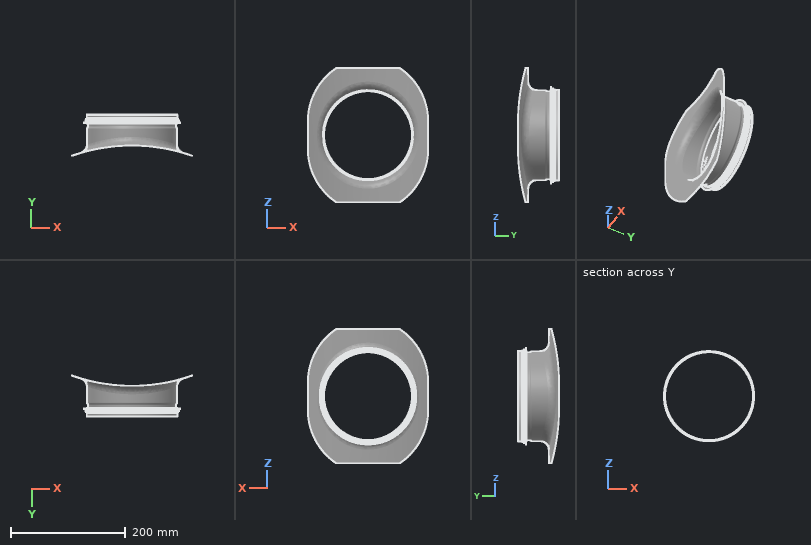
import cadquery as cq
import math

WIDTH = 210.0
HEIGHT = 235.0
DEPTH = 72.5
SHEET = 0.5

SADDLE_INNER_RADIUS = 315.0
TOP_FLAT_HALF = 55.5
SIDE_FLAT_HALF = 33.4
CORNER_RADIUS = 113.3
BEVEL_WIDTH = 1.2
BEVEL_DEPTH = 0.35
BEVEL_SAMPLES = 12
FLARE_RADIUS = 14.5

COLLAR_RADIUS = 158.0 / 2
NECK_RADIUS = 154.2 / 2
RIM_RADIUS = 159.0 / 2
NECK_START = 21.2
SHOULDER_END = 24.5
BEND_RADIUS = 2.4
RIM_LENGTH = 6.0
RIM_ROUND = 1.5

SEAL_RADIUS = 158.0 / 2
SEAL_BORE_RADIUS = 155.3 / 2
SEAL_END = 16.0
SEAL_FINS = [
    (161.2 / 2, 8.0, 1.0),
    (164.5 / 2, 10.3, 1.0),
    (169.5 / 2, 13.6, 1.6),
]

half_width = WIDTH / 2
half_height = HEIGHT / 2
saddle_axis_y = -math.sqrt(SADDLE_INNER_RADIUS**2 - half_width**2)
shoulder_rear = DEPTH - NECK_START
shoulder_front = DEPTH - SHOULDER_END
shoulder_angle = math.atan2(COLLAR_RADIUS - NECK_RADIUS, SHOULDER_END - NECK_START)
bend_length = BEND_RADIUS * math.tan(shoulder_angle / 2)
collar_front = shoulder_front - bend_length - SHEET


def ring(outer_radius, inner_radius, rear_distance, length):
    """Ring round the Y axis, running forward from a distance behind the rear face."""
    return (
        cq.Workplane("XZ", origin=(0, DEPTH - rear_distance, 0))
        .circle(outer_radius)
        .circle(inner_radius)
        .extrude(length)
    )


def flared_form(saddle_radius, tube_radius, flare_radius):
    """Solid saddle cylinder with a round stub, blended together by the flare."""
    saddle = (
        cq.Workplane("XY", origin=(0, saddle_axis_y, -HEIGHT))
        .circle(saddle_radius)
        .extrude(2 * HEIGHT)
    )
    stub = (
        cq.Workplane("XZ", origin=(0, collar_front, 0))
        .circle(tube_radius)
        .extrude(collar_front - saddle_axis_y)
    )
    seam_box = cq.selectors.BoxSelector(
        (-half_width, -half_width, -half_height), (half_width, collar_front - SHEET, half_height)
    )
    return saddle.union(stub).edges(seam_box).fillet(flare_radius)


def saddle_outline():
    """Prism with straight sides and rounded corners that trims the saddle plate."""
    return (
        cq.Workplane("XZ", origin=(0, DEPTH, 0))
        .moveTo(-TOP_FLAT_HALF, half_height)
        .lineTo(TOP_FLAT_HALF, half_height)
        .radiusArc((half_width, SIDE_FLAT_HALF), CORNER_RADIUS)
        .lineTo(half_width, -SIDE_FLAT_HALF)
        .radiusArc((TOP_FLAT_HALF, -half_height), CORNER_RADIUS)
        .lineTo(-TOP_FLAT_HALF, -half_height)
        .radiusArc((-half_width, -SIDE_FLAT_HALF), CORNER_RADIUS)
        .lineTo(-half_width, SIDE_FLAT_HALF)
        .radiusArc((-TOP_FLAT_HALF, half_height), CORNER_RADIUS)
        .close()
        .extrude(2 * DEPTH)
    )


def make_bevel_cutter():
    """Cutter below a sloped strip that follows the hollow face along the +X, +Z corner."""
    run_x = half_width - TOP_FLAT_HALF
    run_z = half_height - SIDE_FLAT_HALF
    chord = math.hypot(run_x, run_z)
    centre_offset = math.sqrt(CORNER_RADIUS**2 - (chord / 2) ** 2)
    centre_x = (TOP_FLAT_HALF + half_width) / 2 - centre_offset * run_z / chord
    centre_z = (SIDE_FLAT_HALF + half_height) / 2 - centre_offset * run_x / chord
    overrun = BEVEL_WIDTH / CORNER_RADIUS * 2
    start = math.atan2(SIDE_FLAT_HALF - centre_z, half_width - centre_x) - overrun
    end = math.atan2(half_height - centre_z, TOP_FLAT_HALF - centre_x) + overrun

    def rail(inset):
        """Curve at an inset from the rim, at the height of the bevel there."""
        rise = BEVEL_DEPTH * (1 - inset / BEVEL_WIDTH)
        points = []
        for step in range(BEVEL_SAMPLES + 1):
            angle = start + (end - start) * step / BEVEL_SAMPLES
            x = centre_x + (CORNER_RADIUS - inset) * math.cos(angle)
            z = centre_z + (CORNER_RADIUS - inset) * math.sin(angle)
            y = saddle_axis_y + math.sqrt(SADDLE_INNER_RADIUS**2 - x**2) + rise
            points.append(cq.Vector(x, y, z))
        return cq.Edge.makeSpline(points)

    strip = cq.Face.makeRuledSurface(rail(-BEVEL_WIDTH / 2), rail(1.5 * BEVEL_WIDTH))
    return cq.Workplane(cq.Solid.extrudeLinear(strip, cq.Vector(0, -2.4, 0)))


def bevel_corners(plate):
    """Bevel the hollow face of the plate along its four rounded corners."""
    right_top = make_bevel_cutter()
    left_top = right_top.mirror("YZ")
    for cutter in (right_top, left_top):
        plate = plate.cut(cutter).cut(cutter.mirror("XY"))
    return plate


def make_saddle_plate():
    """Saddle plate with its flare and the straight front part of the collar."""
    outside = flared_form(SADDLE_INNER_RADIUS + SHEET, COLLAR_RADIUS, FLARE_RADIUS)
    inside = flared_form(SADDLE_INNER_RADIUS, COLLAR_RADIUS - SHEET, FLARE_RADIUS + SHEET)
    plate = outside.cut(inside).intersect(saddle_outline())
    return bevel_corners(plate)


def make_neck():
    """Neck of the collar, with its sloped shoulder and the rim folded over the seal."""
    rim_front = DEPTH - RIM_LENGTH
    fold_front = DEPTH - RIM_ROUND
    inner_shift = SHEET * math.tan(shoulder_angle / 2)
    neck = (
        cq.Workplane("XY")
        .moveTo(COLLAR_RADIUS - SHEET, collar_front)
        .lineTo(COLLAR_RADIUS, collar_front)
        .lineTo(COLLAR_RADIUS, shoulder_front)
        .lineTo(NECK_RADIUS, shoulder_rear)
        .lineTo(NECK_RADIUS, fold_front)
        .lineTo(SEAL_RADIUS, fold_front)
        .lineTo(SEAL_RADIUS, rim_front)
        .lineTo(RIM_RADIUS, rim_front)
        .lineTo(RIM_RADIUS, fold_front)
        .radiusArc((RIM_RADIUS - RIM_ROUND, DEPTH), -RIM_ROUND)
        .lineTo(NECK_RADIUS - SHEET, DEPTH)
        .lineTo(NECK_RADIUS - SHEET, shoulder_rear - inner_shift)
        .lineTo(COLLAR_RADIUS - SHEET, shoulder_front - inner_shift)
        .close()
        .revolve(360, (0, 0, 0), (0, 1, 0))
    )
    bend_box = cq.selectors.BoxSelector(
        (-SHEET, shoulder_front - 1.5 * inner_shift, -SHEET), (SHEET, shoulder_rear + SHEET, SHEET)
    )
    return neck.edges("%CIRCLE").edges(bend_box).fillet(BEND_RADIUS)


def make_seal():
    """Seal band round the neck, tucked under the folded rim, with its sealing fins."""
    band = ring(SEAL_RADIUS, SEAL_BORE_RADIUS, RIM_ROUND, SEAL_END - RIM_ROUND)
    for fin_radius, rear_distance, thickness in SEAL_FINS:
        band = band.union(ring(fin_radius, SEAL_BORE_RADIUS, rear_distance, thickness))
    return band


saddle_collar = make_saddle_plate().union(make_neck())
seal = make_seal()

result = cq.Compound.makeCompound([saddle_collar.val(), seal.val()])